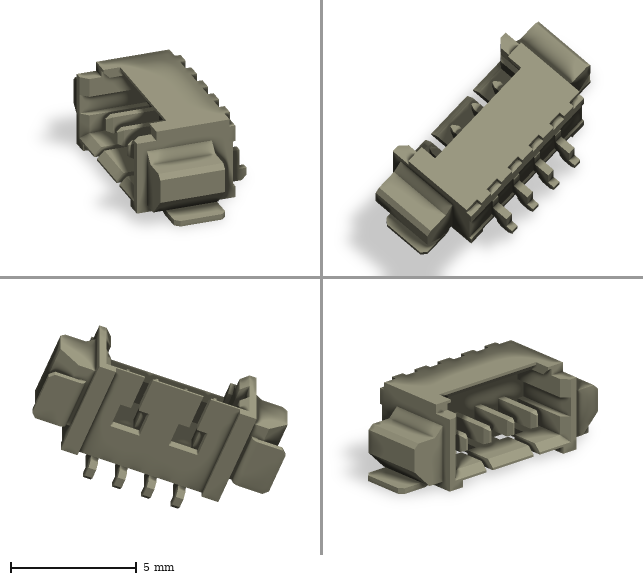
import cadquery as cq

OVERALL_WIDTH = 10.15
BODY_WIDTH = 6.75
BODY_DEPTH = 4.2
BODY_HEIGHT = 3.5
FOOT_WIDTH = 0.71
FOOT_HEIGHT = 0.3

CAVITY_WIDTH = 5.52
CAVITY_DEPTH = 2.87
FLOOR_Z = 0.7
LEAD_IN = 0.3
ROOF_LEAD_IN = 0.27
GROOVE_BOTTOM_Z = 1.49
GROOVE_HEIGHT = 0.82

FRONT_STEP_DEPTH = 0.83
FRONT_STEP_DROP = 0.4
ROOF_NOTCH_WIDTH = 5.16
ROOF_NOTCH_DEPTH = 1.55

REAR_NOTCH_WIDTH = 0.62
REAR_NOTCH_DEPTH = 0.24
REAR_NOTCH_DROP = 0.31
RECESS_DEPTH = 0.1
RECESS_BOTTOM_Z = 0.5
RECESS_HEIGHT = 2.0

PITCH = 1.25
PIN_COUNT = 4
PIN_WIDTH = 0.32
PIN_HEIGHT = 0.71
PIN_BOTTOM_Z = 1.07
PIN_TIP_Y = 0.67
PIN_TAPER_LENGTH = 0.24
PIN_TIP_WIDTH = 0.09
PIN_TIP_HEIGHT = 0.51
SHOULDER_BOTTOM_Z = 1.37
SHOULDER_TOP_Z = 2.11
SHOULDER_BACK_Y = 4.17
LEG_BACK_Y = 4.89
LEG_FRONT_Y = 4.37
TOE_BACK_Y = 5.2
TOE_TOP_Z = 0.52
TOE_CHAMFER = 0.21
LEG_CHAMFER = 0.12
TAIL_START_Y = 3.65

FLOOR_SLOT_WIDTH = 0.33
FLOOR_WINDOW_WIDTH = 1.24
FLOOR_WINDOW_FRONT_Y = 1.53
FLOOR_WINDOW_BACK_Y = 2.62

WING_REACH_X = 4.87
WING_FRONT_Y = 0.43
WING_BACK_Y = 3.2
WING_TOP_Z = 2.29
WING_TOP_CHAMFER = 0.2
WING_BOTTOM_CHAMFER = 0.79
WING_GUSSET = 0.41

TAB_THICKNESS = 0.24
TAB_INNER_X = 3.55
TAB_FRONT_Y = 1.0
TAB_BEND_RADIUS = 0.05
TAB_CORNER_CHAMFER = 0.2

body_half = BODY_WIDTH / 2
cavity_half = CAVITY_WIDTH / 2
step_z = BODY_HEIGHT - FRONT_STEP_DROP
pin_xs = [(i - (PIN_COUNT - 1) / 2) * PITCH for i in range(PIN_COUNT)]


def centered_box(width, y_start, y_end, z_start, z_end, x_center=0):
    """Box centred in x on x_center, spanning the given y and z ranges."""
    return cq.Workplane("XY").box(
        width, y_end - y_start, z_end - z_start, centered=(True, False, False)
    ).translate((x_center, y_start, z_start))


def extrude_along_x(points, width, x_center=0):
    """Prism with a (y, z) outline, centred in x on x_center."""
    prism = cq.Workplane("YZ").polyline(points).close().extrude(width / 2, both=True)
    return prism.translate((x_center, 0, 0))


def extrude_along_y(outline, y_start, y_end):
    """Prism from a closed (x, z) outline, reaching from y_start to y_end."""
    return outline.extrude(y_start - y_end).translate((0, y_start, 0))


def make_cavity():
    mouth_half = cavity_half + LEAD_IN
    cavity = centered_box(CAVITY_WIDTH, 0, CAVITY_DEPTH, FLOOR_Z, step_z)
    groove_top = GROOVE_BOTTOM_Z + GROOVE_HEIGHT
    grooves = centered_box(2 * mouth_half, 0, CAVITY_DEPTH, GROOVE_BOTTOM_Z, groove_top)
    lead_in_height = step_z - FLOOR_Z
    taper_block = (
        cq.Workplane("XZ")
        .center(0, FLOOR_Z + lead_in_height)
        .rect(2 * mouth_half, 2 * (lead_in_height + LEAD_IN))
        .workplane(offset=-LEAD_IN)
        .rect(CAVITY_WIDTH, 2 * lead_in_height)
        .loft(ruled=True)
    )
    below_step = centered_box(BODY_WIDTH, 0, LEAD_IN, 0, step_z)
    return cavity.union(grooves).union(taper_block.intersect(below_step))


def make_roof_lead_in(width, edge_y):
    """Wedge that bevels the ceiling behind a roof edge at edge_y."""
    outline = [(edge_y, step_z), (edge_y, step_z + ROOF_LEAD_IN), (edge_y + ROOF_LEAD_IN, step_z)]
    return extrude_along_x(outline, width)


def make_body():
    body = centered_box(BODY_WIDTH, 0, BODY_DEPTH, 0, BODY_HEIGHT)
    body = body.cut(centered_box(BODY_WIDTH - 2 * FOOT_WIDTH, 0, BODY_DEPTH, 0, FOOT_HEIGHT))
    body = body.cut(make_cavity())
    body = body.cut(centered_box(BODY_WIDTH, 0, FRONT_STEP_DEPTH, step_z, BODY_HEIGHT))
    body = body.cut(centered_box(ROOF_NOTCH_WIDTH, 0, ROOF_NOTCH_DEPTH, step_z, BODY_HEIGHT))
    body = body.cut(make_roof_lead_in(CAVITY_WIDTH, FRONT_STEP_DEPTH))
    body = body.cut(make_roof_lead_in(ROOF_NOTCH_WIDTH, ROOF_NOTCH_DEPTH))

    recess_y = BODY_DEPTH - RECESS_DEPTH
    recess_top = RECESS_BOTTOM_Z + RECESS_HEIGHT
    body = body.cut(centered_box(BODY_WIDTH, recess_y, BODY_DEPTH, RECESS_BOTTOM_Z, recess_top))

    notch_y = BODY_DEPTH - REAR_NOTCH_DEPTH
    notch_z = BODY_HEIGHT - REAR_NOTCH_DROP
    corner_x = body_half - REAR_NOTCH_WIDTH / 2
    for x in [-corner_x, *pin_xs, corner_x]:
        body = body.cut(centered_box(REAR_NOTCH_WIDTH, notch_y, BODY_DEPTH, notch_z, BODY_HEIGHT, x))

    for x in (-PITCH, PITCH):
        body = body.cut(centered_box(FLOOR_SLOT_WIDTH, 0, FLOOR_WINDOW_BACK_Y, 0, FLOOR_Z, x))
        body = body.cut(
            centered_box(FLOOR_WINDOW_WIDTH, FLOOR_WINDOW_FRONT_Y, FLOOR_WINDOW_BACK_Y, 0, FLOOR_Z, x)
        )
    return body


def make_pin(x):
    pin_top = PIN_BOTTOM_Z + PIN_HEIGHT
    taper_end = PIN_TIP_Y + PIN_TAPER_LENGTH
    blade = centered_box(PIN_WIDTH, taper_end, TAIL_START_Y, PIN_BOTTOM_Z, pin_top, x)
    tip = (
        cq.Workplane("XZ", origin=(x, PIN_TIP_Y, PIN_BOTTOM_Z + PIN_HEIGHT / 2))
        .rect(PIN_TIP_WIDTH, PIN_TIP_HEIGHT)
        .workplane(offset=-PIN_TAPER_LENGTH)
        .rect(PIN_WIDTH, PIN_HEIGHT)
        .loft(ruled=True)
    )
    tail = extrude_along_x(
        [
            (TAIL_START_Y, SHOULDER_TOP_Z),
            (SHOULDER_BACK_Y, SHOULDER_TOP_Z),
            (SHOULDER_BACK_Y, SHOULDER_BOTTOM_Z),
            (LEG_BACK_Y, SHOULDER_BOTTOM_Z),
            (LEG_BACK_Y, TOE_TOP_Z),
            (TOE_BACK_Y, TOE_TOP_Z),
            (TOE_BACK_Y, TOE_CHAMFER),
            (TOE_BACK_Y - TOE_CHAMFER, 0),
            (LEG_FRONT_Y + TOE_CHAMFER, 0),
            (LEG_FRONT_Y, TOE_CHAMFER),
            (LEG_FRONT_Y, TOE_TOP_Z - LEG_CHAMFER),
            (LEG_FRONT_Y - LEG_CHAMFER, TOE_TOP_Z),
            (TAIL_START_Y, TOE_TOP_Z),
        ],
        PIN_WIDTH,
        x,
    )
    return blade.union(tip).union(tail)


def make_wing():
    """Wing on the +X side, rooted in the body wall."""
    outline = cq.Workplane("XZ").polyline(
        [
            (body_half, FOOT_HEIGHT),
            (WING_REACH_X - WING_BOTTOM_CHAMFER, FOOT_HEIGHT),
            (WING_REACH_X, FOOT_HEIGHT + WING_BOTTOM_CHAMFER),
            (WING_REACH_X, WING_TOP_Z - WING_TOP_CHAMFER),
            (WING_REACH_X - WING_TOP_CHAMFER, WING_TOP_Z),
            (body_half + WING_GUSSET, WING_TOP_Z),
            (body_half, WING_TOP_Z + WING_GUSSET),
        ]
    ).close()
    return extrude_along_y(outline, WING_FRONT_Y, WING_BACK_Y)


def make_tab():
    """Solder tab on the +X side, bent down out of the wing and outwards."""
    outer_radius = TAB_THICKNESS + TAB_BEND_RADIUS
    bend_x = TAB_INNER_X + outer_radius
    tab_root_z = FOOT_HEIGHT + TAB_THICKNESS
    outline = (
        cq.Workplane("XZ")
        .moveTo(OVERALL_WIDTH / 2, 0)
        .lineTo(bend_x, 0)
        .radiusArc((TAB_INNER_X, outer_radius), outer_radius)
        .lineTo(TAB_INNER_X, tab_root_z)
        .lineTo(TAB_INNER_X + TAB_THICKNESS, tab_root_z)
        .lineTo(TAB_INNER_X + TAB_THICKNESS, outer_radius)
        .radiusArc((bend_x, TAB_THICKNESS), -TAB_BEND_RADIUS)
        .lineTo(OVERALL_WIDTH / 2, TAB_THICKNESS)
        .close()
    )
    tab = extrude_along_y(outline, TAB_FRONT_Y, WING_BACK_Y)
    return tab.faces(">X").edges("|Z").chamfer(TAB_CORNER_CHAMFER)


side_mount = make_wing().union(make_tab())
result = make_body().union(side_mount).union(side_mount.mirror("YZ"))
for pin_x in pin_xs:
    result = result.union(make_pin(pin_x))